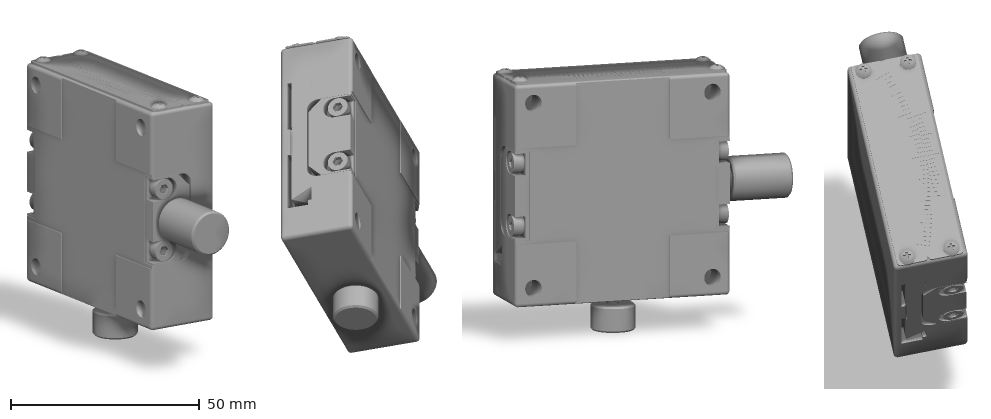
import cadquery as cq
import math


SIDE = 60.0
THICKNESS = 20.0
EDGE_RADIUS = 1.0
HALF_SIDE = SIDE / 2
FRONT_Y = -THICKNESS / 2

CROSS_WIDTH = 26.0
CROSS_DEPTH = 0.3
PAD_HOLE_OFFSET = 25.0
PAD_HOLE_DIAMETER = 4.6
PAD_HOLE_DEPTH = 8.0

POCKET_HALF_HEIGHT = 12.0
POCKET_DEPTH = 4.0
POCKET_BACK_Y = 2.6
POCKET_CORNER_RADIUS = 3.0
INSERT_BACK_Y = 2.1
INSERT_SETBACK = 0.5
INSERT_FRONT_Y = FRONT_Y + INSERT_SETBACK
INSERT_CHAMFER = 3.5
INSERT_END_CLEARANCE = 0.05

CLAMP_SCREW_Y = -6.0
CLAMP_SCREW_Z = 8.5
CLAMP_SLOT_Y = -5.0
CLAMP_SLOT_WIDTH = 6.0
CLAMP_HEAD_DIAMETER = 5.5
CLAMP_HEAD_LENGTH = 3.0
CLAMP_SOCKET_SIDES = 6
CLAMP_SOCKET_FLATS = 2.5
CLAMP_SOCKET_DEPTH = 1.2
CLAMP_SOCKET_CONE_DEPTH = 0.8

WINDOW_DEPTH = 4.5
WINDOW_BACK_Y = 8.0
WINDOW_FRONT_Y = 6.85
WINDOW_TOP_Z = 18.5
WINDOW_BOTTOM_Z = -20.6
BRIDGE_TOP_Z = 4.0
BRIDGE_BOTTOM_Z = -4.0
BRIDGE_SLIT_FRONT_Y = 6.6
BRIDGE_SLIT_WIDTH = 0.55
BRIDGE_SLIT_HALF_HEIGHT = 4.5
BRIDGE_SLIT_DEPTH = 0.3
FOOT_TOP_Z = -18.1
FOOT_STEP_Z = -19.1
FOOT_STEP_Y = 2.3
FOOT_FRONT_Y = 1.3
ROOF_PEAK_Z = -15.0

LINE_WIDTH = 0.2
LINE_DEPTH = 0.1
INDEX_Y = 1.5
INDEX_TOP_Z = 19.1
INDEX_BOTTOM_Z = 15.0

PLATE_LENGTH = 59.0
PLATE_WIDTH = 18.0
PLATE_THICKNESS = 0.6
PLATE_CORNER_RADIUS = 1.0
PLATE_TOP_Z = HALF_SIDE + PLATE_THICKNESS
SCALE_RADIUS = 75.0
SCALE_CENTRE_Y = 70.0

MAIN_STEP = 1.0
MAIN_COUNT = 20
VERNIER_STEP = 0.9
VERNIER_COUNT = 10
SHORT_TICK = 2.0
MEDIUM_TICK = 3.0
LONG_TICK = 4.0
MEDIUM_INTERVAL = 5
LONG_INTERVAL = 10

PLATE_SCREW_X = 27.5
PLATE_SCREW_Y = 6.0
PLATE_SCREW_DIAMETER = 4.3
PLATE_SCREW_TOP_Z = 31.63
PLATE_SCREW_RIM = 0.1
RECESS_LENGTH = 2.1
RECESS_WIDTH = 0.7
RECESS_DEPTH = 0.8

KNOB_RADIUS = 6.0
KNOB_CHAMFER = 0.5
DRIVE_Y = -3.0
DRIVE_STEM_RADIUS = 3.3
DRIVE_COLLAR_RADIUS = 4.0
DRIVE_STEM_END = 0.5
DRIVE_COLLAR_END = 1.5
DRIVE_END = 18.0
LOCK_Y = -1.5
LOCK_COLLAR_RADIUS = 2.1
LOCK_NECK_RADIUS = 1.65
LOCK_COLLAR_END = 1.0
LOCK_NECK_END = 2.0
LOCK_END = 9.0

EMBED = 1.0


def box(x_range, y_range, z_range):
    """Box between two limits on each axis."""
    size = [high - low for low, high in (x_range, y_range, z_range)]
    corner = (x_range[0], y_range[0], z_range[0])
    return cq.Workplane("XY").box(*size, centered=False).translate(corner)


def left_prism(sketch_points, depth):
    """Prism from (y, z) points on the left face, running into the body."""
    return cq.Workplane("YZ", origin=(-HALF_SIDE, 0, 0)).polyline(sketch_points).close().extrude(depth)


def make_body():
    body = cq.Workplane("XY").box(SIDE, THICKNESS, SIDE).edges().fillet(EDGE_RADIUS)
    half_cross = CROSS_WIDTH / 2
    relief_y = (FRONT_Y, FRONT_Y + CROSS_DEPTH)
    arm = (-half_cross, half_cross)
    full = (-HALF_SIDE, HALF_SIDE)
    body = body.cut(box(arm, relief_y, full)).cut(box(full, relief_y, arm))
    holes = (
        cq.Workplane("XZ", origin=(0, FRONT_Y, 0))
        .rect(2 * PAD_HOLE_OFFSET, 2 * PAD_HOLE_OFFSET, forConstruction=True)
        .vertices()
        .circle(PAD_HOLE_DIAMETER / 2)
        .extrude(-PAD_HOLE_DEPTH)
    )
    return body.cut(holes)


def make_pocket():
    """Left side pocket, open to the front and rounded at its back corners."""
    return (
        box(
            (-HALF_SIDE, -HALF_SIDE + POCKET_DEPTH),
            (FRONT_Y, POCKET_BACK_Y),
            (-POCKET_HALF_HEIGHT, POCKET_HALF_HEIGHT),
        )
        .edges("|X and >Y")
        .fillet(POCKET_CORNER_RADIUS)
    )


def make_insert():
    """Left clamp insert with its two socket head screws."""
    half_height = POCKET_HALF_HEIGHT - INSERT_END_CLEARANCE
    insert = (
        box(
            (-HALF_SIDE, -HALF_SIDE + POCKET_DEPTH),
            (INSERT_FRONT_Y, INSERT_BACK_Y),
            (-half_height, half_height),
        )
        .edges("|X and >Y")
        .chamfer(INSERT_CHAMFER)
    )
    socket_diameter = CLAMP_SOCKET_FLATS / math.cos(math.pi / CLAMP_SOCKET_SIDES)
    half_slot = CLAMP_SLOT_WIDTH / 2
    for z in (-CLAMP_SCREW_Z, CLAMP_SCREW_Z):
        face = cq.Workplane("YZ", origin=(-HALF_SIDE, 0, z))
        slot = (
            face.moveTo(FRONT_Y, -half_slot)
            .lineTo(CLAMP_SLOT_Y, -half_slot)
            .threePointArc((CLAMP_SLOT_Y + half_slot, 0), (CLAMP_SLOT_Y, half_slot))
            .lineTo(FRONT_Y, half_slot)
            .close()
            .extrude(CLAMP_HEAD_LENGTH)
        )
        screw_axis = face.center(CLAMP_SCREW_Y, 0)
        head = screw_axis.circle(CLAMP_HEAD_DIAMETER / 2).extrude(CLAMP_HEAD_LENGTH)
        socket = screw_axis.polygon(CLAMP_SOCKET_SIDES, socket_diameter).extrude(CLAMP_SOCKET_DEPTH)
        cone = cq.Solid.makeCone(
            CLAMP_SOCKET_FLATS / 2,
            0,
            CLAMP_SOCKET_CONE_DEPTH,
            cq.Vector(-HALF_SIDE + CLAMP_SOCKET_DEPTH, CLAMP_SCREW_Y, z),
            cq.Vector(1, 0, 0),
        )
        insert = insert.cut(slot).union(head).cut(socket).cut(cq.Workplane(cone))
    return insert


def make_window():
    """Access window: a slit broken by a bridge, with a stepped foot under a sloping roof."""
    depth_range = (-HALF_SIDE, -HALF_SIDE + WINDOW_DEPTH)
    slit_y = (WINDOW_FRONT_Y, WINDOW_BACK_Y)
    upper_slit = box(depth_range, slit_y, (BRIDGE_TOP_Z, WINDOW_TOP_Z))
    lower_slit = box(depth_range, slit_y, (WINDOW_BOTTOM_Z, BRIDGE_BOTTOM_Z))
    bridge_slit = box(
        (-HALF_SIDE, -HALF_SIDE + BRIDGE_SLIT_DEPTH),
        (BRIDGE_SLIT_FRONT_Y, BRIDGE_SLIT_FRONT_Y + BRIDGE_SLIT_WIDTH),
        (-BRIDGE_SLIT_HALF_HEIGHT, BRIDGE_SLIT_HALF_HEIGHT),
    )
    foot_points = [
        (WINDOW_BACK_Y, WINDOW_BOTTOM_Z),
        (FOOT_STEP_Y, WINDOW_BOTTOM_Z),
        (FOOT_STEP_Y, FOOT_STEP_Z),
        (FOOT_FRONT_Y, FOOT_STEP_Z),
        (FOOT_FRONT_Y, FOOT_TOP_Z),
        (WINDOW_BACK_Y, FOOT_TOP_Z),
    ]
    foot = left_prism(foot_points, WINDOW_DEPTH)
    window = upper_slit.union(lower_slit).union(bridge_slit).union(foot)
    return window.union(make_window_roof())


def make_window_roof():
    """Tetrahedron above the foot, tallest at its front edge and falling inward to the foot."""
    toe = cq.Vector(-HALF_SIDE, WINDOW_FRONT_Y, FOOT_TOP_Z)
    heel = cq.Vector(-HALF_SIDE, FOOT_FRONT_Y, FOOT_TOP_Z)
    peak = cq.Vector(-HALF_SIDE, FOOT_FRONT_Y, ROOF_PEAK_Z)
    inner = cq.Vector(-HALF_SIDE + WINDOW_DEPTH, FOOT_FRONT_Y, FOOT_TOP_Z)
    triangles = [(toe, heel, peak), (toe, peak, inner), (toe, inner, heel), (heel, inner, peak)]
    faces = [cq.Face.makeFromWires(cq.Wire.makePolygon(points, close=True)) for points in triangles]
    return cq.Workplane(cq.Solid.makeSolid(cq.Shell.makeShell(faces)))


def make_index_line():
    return box(
        (-HALF_SIDE, -HALF_SIDE + LINE_DEPTH),
        (INDEX_Y - LINE_WIDTH / 2, INDEX_Y + LINE_WIDTH / 2),
        (INDEX_BOTTOM_Z, INDEX_TOP_Z),
    )


def make_plates():
    """Two scale plates, rounded at every corner, that meet along the parting arc."""
    half_length = PLATE_LENGTH / 2
    half_width = PLATE_WIDTH / 2
    arc_end_y = SCALE_CENTRE_Y - math.sqrt(SCALE_RADIUS**2 - half_length**2)
    arc_middle = (0, SCALE_CENTRE_Y - SCALE_RADIUS)
    plates = cq.Workplane("XY")
    for edge_y in (-half_width, half_width):
        plate = (
            cq.Workplane("XY", origin=(0, 0, HALF_SIDE))
            .moveTo(-half_length, arc_end_y)
            .threePointArc(arc_middle, (half_length, arc_end_y))
            .lineTo(half_length, edge_y)
            .lineTo(-half_length, edge_y)
            .close()
            .extrude(PLATE_THICKNESS)
            .edges("|Z")
            .fillet(PLATE_CORNER_RADIUS)
        )
        plates = plates.add(plate)
    return plates.combine()


def tick_length(index):
    if index % LONG_INTERVAL == 0:
        return LONG_TICK
    if index % MEDIUM_INTERVAL == 0:
        return MEDIUM_TICK
    return SHORT_TICK


def make_ticks(count, step, outward):
    """Engraved radial lines on both sides of zero, starting at the parting arc."""
    ticks = cq.Workplane("XY")
    for index in range(-count, count + 1):
        length = tick_length(index)
        inner_radius = SCALE_RADIUS if outward else SCALE_RADIUS - length
        tick = box(
            (-LINE_WIDTH / 2, LINE_WIDTH / 2),
            (SCALE_CENTRE_Y - inner_radius - length, SCALE_CENTRE_Y - inner_radius),
            (PLATE_TOP_Z - LINE_DEPTH, PLATE_TOP_Z),
        )
        centre = (0, SCALE_CENTRE_Y, 0)
        ticks = ticks.add(tick.rotate(centre, (0, SCALE_CENTRE_Y, 1), index * step))
    return ticks.combine()


def make_plate_screw():
    """Domed head with a cross recess, standing on the plate at the origin of X and Y."""
    radius = PLATE_SCREW_DIAMETER / 2
    rim_z = PLATE_TOP_Z + PLATE_SCREW_RIM
    crown_radius = RECESS_WIDTH / math.sqrt(2)
    crown_height = PLATE_SCREW_TOP_Z - rim_z
    centre_height = (crown_radius**2 + crown_height**2 - radius**2) / (2 * crown_height)
    sphere_radius = math.hypot(radius, centre_height)
    centre = (0, 0, rim_z + centre_height)
    stock = cq.Workplane("XY", origin=(0, 0, HALF_SIDE)).circle(radius).extrude(SIDE)
    head = stock.intersect(cq.Workplane("XY", origin=centre).sphere(sphere_radius))
    recess_floor = cq.Workplane("XY", origin=(0, 0, PLATE_SCREW_TOP_Z - RECESS_DEPTH))
    for length, width in ((RECESS_LENGTH, RECESS_WIDTH), (RECESS_WIDTH, RECESS_LENGTH)):
        head = head.cut(recess_floor.rect(length, width).extrude(2 * RECESS_DEPTH))
    return head


def make_knob(steps):
    """Stepped knob along +Z, from (radius, end) steps; the last step is the chamfered grip."""
    knob = cq.Workplane("XY").workplane(offset=-EMBED).circle(steps[0][0]).extrude(EMBED)
    start = 0.0
    for radius, end in steps[:-1]:
        knob = knob.union(cq.Workplane("XY").workplane(offset=start).circle(radius).extrude(end - start))
        start = end
    radius, end = steps[-1]
    grip = cq.Workplane("XY").workplane(offset=start).circle(radius).extrude(end - start)
    return knob.union(grip.edges().chamfer(KNOB_CHAMFER))


def make_drive_knob():
    knob = make_knob(
        [
            (DRIVE_STEM_RADIUS, DRIVE_STEM_END),
            (DRIVE_COLLAR_RADIUS, DRIVE_COLLAR_END),
            (KNOB_RADIUS, DRIVE_END),
        ]
    )
    return knob.rotate((0, 0, 0), (0, 1, 0), 90).translate((HALF_SIDE, DRIVE_Y, 0))


def make_lock_knob():
    knob = make_knob(
        [(LOCK_COLLAR_RADIUS, LOCK_COLLAR_END), (LOCK_NECK_RADIUS, LOCK_NECK_END), (KNOB_RADIUS, LOCK_END)]
    )
    return knob.rotate((0, 0, 0), (1, 0, 0), 180).translate((0, LOCK_Y, -HALF_SIDE))


def build():
    part = make_body()
    pocket = make_pocket()
    insert = make_insert()
    part = part.cut(pocket).cut(pocket.mirror("YZ"))
    part = part.union(insert).union(insert.mirror("YZ"))
    part = part.cut(make_window()).cut(make_index_line())
    part = part.union(make_plates())
    part = part.cut(make_ticks(MAIN_COUNT, MAIN_STEP, outward=False))
    part = part.cut(make_ticks(VERNIER_COUNT, VERNIER_STEP, outward=True))
    screw = make_plate_screw()
    for x in (-PLATE_SCREW_X, PLATE_SCREW_X):
        for y in (-PLATE_SCREW_Y, PLATE_SCREW_Y):
            part = part.union(screw.translate((x, y, 0)))
    return part.union(make_drive_knob()).union(make_lock_knob())


result = build()